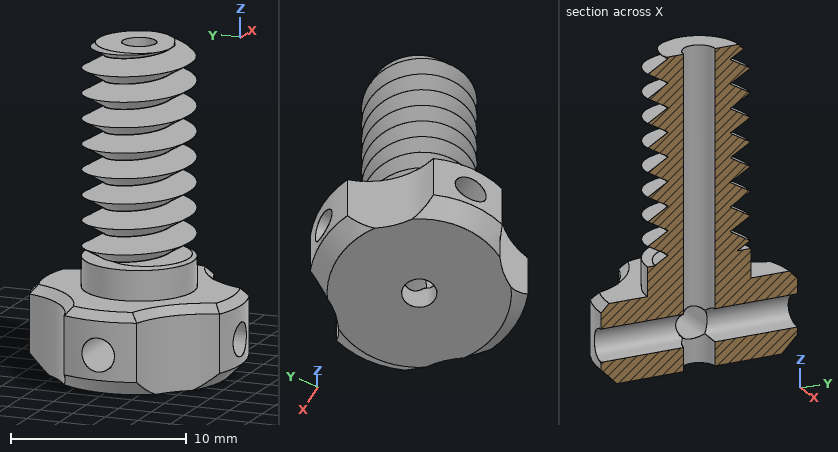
import cadquery as cq
import math

total_height = 19.38
bore_diameter = 2.0

head_diameter = 12.5
head_height = 5.0
scallop_count = 4
scallop_radius = 5.0
top_chamfer = 0.5
bottom_chamfer = 1.0

collar_diameter = 6.6
collar_height = 1.8

thread_diameter = 6.59
thread_root_diameter = 4.03
counted_turns = 8
counted_rise = 12.0
crest_height = 8.41
tip_chamfer = 0.8
flank_angle = 30.0

burial_depth = 0.2
trim_margin = 0.2

head_radius = head_diameter / 2
bore_radius = bore_diameter / 2
scallop_distance = 2 * scallop_radius
first_scallop_angle = 180 / scallop_count
collar_radius = collar_diameter / 2
thread_radius = thread_diameter / 2
root_radius = thread_root_diameter / 2
collar_top = head_height + collar_height
pitch = counted_rise / counted_turns

turns_below_crest = 2
ridge_start = crest_height - turns_below_crest * pitch
ridge_turns = math.ceil((total_height - ridge_start) / pitch) + 1
half_base = (thread_radius - root_radius) * math.tan(math.radians(flank_angle))
buried_radius = root_radius - burial_depth
ridge_profile = [
    (buried_radius, -half_base),
    (root_radius, -half_base),
    (thread_radius, 0),
    (root_radius, half_base),
    (buried_radius, half_base),
]


def make_head():
    """Round knob with four scalloped grips, chamfered top outline and conical lower rim."""
    head = cq.Workplane("XY").circle(head_radius).extrude(head_height)
    scallop_cutters = (
        cq.Workplane("XY")
        .polarArray(scallop_distance, first_scallop_angle, 360, scallop_count)
        .circle(scallop_radius)
        .extrude(head_height)
    )
    head = head.cut(scallop_cutters).faces(">Z").edges().chamfer(top_chamfer)
    rim_cone = (
        cq.Workplane("XY")
        .circle(head_radius)
        .extrude(head_height)
        .faces("<Z")
        .chamfer(bottom_chamfer)
    )
    return head.intersect(rim_cone)


def make_collar():
    """Plain cylinder between the head and the thread."""
    return cq.Workplane("XY").circle(collar_radius).extrude(collar_top)


def make_ridge_end(height):
    """Cross-section of the thread ridge on the +X side, as a face."""
    corners = [cq.Vector(radius, 0, height + rise) for radius, rise in ridge_profile]
    return cq.Face.makeFromWires(cq.Wire.makePolygon(corners, close=True))


def make_thread_ridge():
    """Right-handed helical ridge with a sharp crest, its base buried inside the core.

    It makes whole turns, so it starts and ends on the +X side.
    """
    ridge_length = ridge_turns * pitch
    helices = [
        cq.Wire.makeHelix(pitch, ridge_length, radius).translate(cq.Vector(0, 0, ridge_start + rise))
        for radius, rise in ridge_profile
    ]
    sides = [
        cq.Face.makeRuledSurface(helix, helices[index - 1])
        for index, helix in enumerate(helices)
    ]
    ends = [make_ridge_end(ridge_start), make_ridge_end(ridge_start + ridge_length)]
    return cq.Workplane(cq.Solid.makeSolid(cq.Shell.makeShell(sides + ends)))


def make_threaded_shank():
    """Core and ridge, trimmed flat at the collar and beveled at the free end."""
    core = cq.Workplane("XY").circle(root_radius).extrude(total_height + pitch)
    rod = core.union(make_thread_ridge(), clean=False)
    envelope = (
        cq.Workplane("XY")
        .workplane(offset=collar_top)
        .circle(thread_radius + trim_margin)
        .extrude(total_height - collar_top)
        .faces(">Z")
        .chamfer(tip_chamfer + trim_margin)
    )
    return rod.intersect(envelope, clean=False)


def drill_bores(body):
    """One bore along the axis and two crossing ones through the middle of the head."""
    axial = cq.Workplane("XY").circle(bore_radius).extrude(total_height)
    body = body.cut(axial, clean=False)
    for plane in ("XZ", "YZ"):
        cross = (
            cq.Workplane(plane)
            .center(0, head_height / 2)
            .circle(bore_radius)
            .extrude(head_radius, both=True)
        )
        body = body.cut(cross, clean=False)
    return body


knob = make_head().union(make_collar())
result = drill_bores(knob.union(make_threaded_shank(), clean=False))